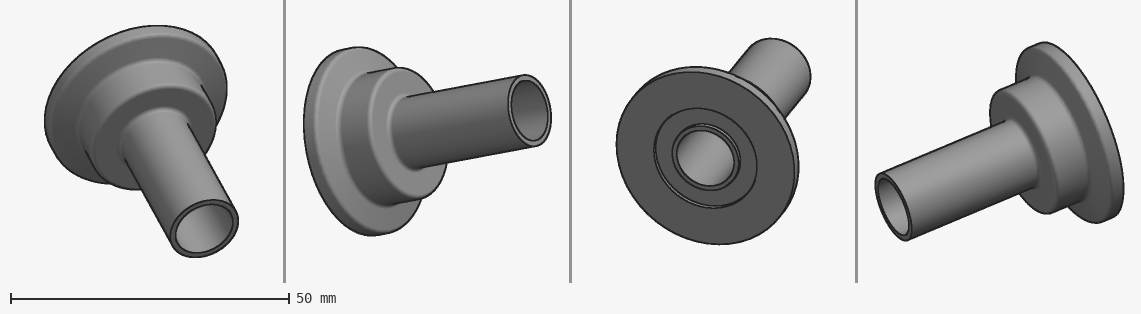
import cadquery as cq
import math

length = 38.0
flange_radius = 34.0 / 2
hub_radius = 12.0
tube_radius = 6.5
bore_radius = 5.47

rim_thickness = 2.7
hub_end = 11.2
cone_angle = 15.0
cone_end = rim_thickness + (flange_radius - hub_radius) * math.tan(math.radians(cone_angle))

edge_radius = 0.8

groove_outer_radius = 9.85
groove_inner_radius = 6.35
groove_depth = 0.95


def turned_body():
    """Clamp flange with tapered back, hub and tube, as one revolved outline."""
    outline = (
        cq.Workplane("XY")
        .lineTo(0, flange_radius)
        .lineTo(rim_thickness, flange_radius)
        .lineTo(cone_end, hub_radius)
        .lineTo(hub_end, hub_radius)
        .lineTo(hub_end, tube_radius)
        .lineTo(length, tube_radius)
        .lineTo(length, 0)
        .close()
    )
    return outline.revolve(360, (0, 0, 0), (1, 0, 0))


def round_edges(body):
    """Round the rim, both ends of the hub and the root of the tube."""
    inner_circles = body.edges("%CIRCLE").edges("not(<X or >X)")
    return inner_circles.fillet(edge_radius)


def face_groove():
    """Ring-shaped cutter for the groove in the flange face."""
    ring = cq.Workplane("YZ").circle(groove_outer_radius).circle(groove_inner_radius)
    return ring.extrude(groove_depth)


def bore():
    """Cutter for the through bore."""
    return cq.Workplane("YZ").circle(bore_radius).extrude(length)


result = round_edges(turned_body()).cut(face_groove()).cut(bore())